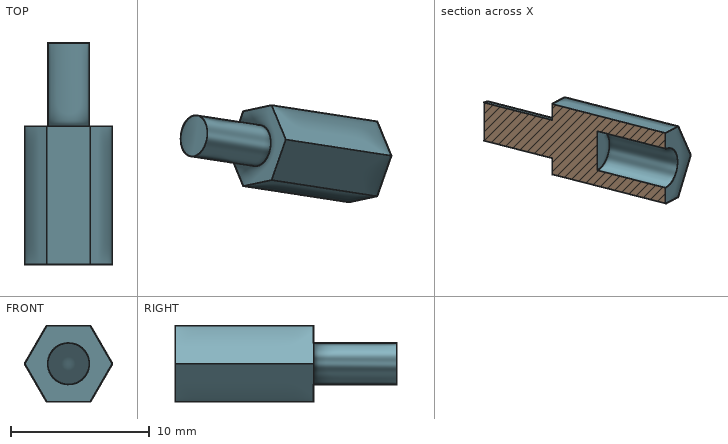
import cadquery as cq
import math

across_flats = 5.5
across_corners = across_flats / math.cos(math.radians(30))
body_length = 10.0
stud_length = 6.0
thread_diameter = 3.0
hole_depth = stud_length


def along_y(start_y):
    """Workplane at start_y whose extrusions run toward +Y."""
    return cq.Workplane("XZ", origin=(0, start_y, 0)).transformed(rotate=(180, 0, 0))


def hex_body():
    """Hexagonal prism with two corners on the X axis and flats facing up and down."""
    return along_y(0).polygon(6, across_corners).extrude(body_length)


def round_bar(start_y, length):
    """Cylinder of the thread diameter on the part axis."""
    return along_y(start_y).circle(thread_diameter / 2).extrude(length)


stud = round_bar(body_length, stud_length)
blind_hole = round_bar(0, hole_depth)

result = hex_body().union(stud).cut(blind_hole)